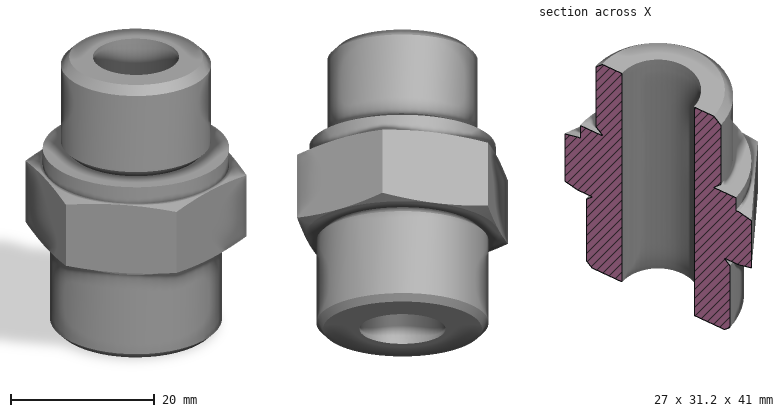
import cadquery as cq
import math

overall_height = 41.0
hex_bottom = 14.0
hex_top = 24.5
collar_top = 27.0

hex_sides = 6
hex_half_sector = 180 / hex_sides
hex_across_flats = 27.0
hex_across_corners = hex_across_flats / math.cos(math.radians(hex_half_sector))
hex_face_diameter = 26.9
hex_chamfer_angle = 15.0

lower_diameter = 24.0
lower_root_diameter = 22.16
upper_diameter = 20.95
upper_root_diameter = 18.63
collar_diameter = 26.0
bore_diameter = 12.0


def stub(diameter, root_diameter, bottom, top):
    """Cylinder from bottom to top with 45 degree chamfers down to the root diameter."""
    chamfer = (diameter - root_diameter) / 2
    return (
        cq.Workplane("XY", origin=(0, 0, bottom))
        .circle(diameter / 2)
        .extrude(top - bottom)
        .faces("<Z or >Z")
        .chamfer(chamfer)
    )


def chamfered_hexagon():
    """Hexagonal prism, corners on the Y axis, with its corners turned off by a cone at each end."""
    prism = (
        cq.Workplane("XY", origin=(0, 0, hex_bottom))
        .polygon(hex_sides, hex_across_corners)
        .extrude(hex_top - hex_bottom)
        .rotate((0, 0, 0), (0, 0, 1), hex_half_sector)
    )
    face_radius = hex_face_diameter / 2
    envelope_radius = hex_across_corners
    drop = (envelope_radius - face_radius) * math.tan(math.radians(hex_chamfer_angle))
    envelope = (
        cq.Workplane("XZ")
        .moveTo(0, hex_bottom)
        .lineTo(face_radius, hex_bottom)
        .lineTo(envelope_radius, hex_bottom + drop)
        .lineTo(envelope_radius, hex_top - drop)
        .lineTo(face_radius, hex_top)
        .lineTo(0, hex_top)
        .close()
        .revolve(360, (0, 0, 0), (0, 1, 0))
    )
    return prism.intersect(envelope)


def collar():
    """Plain round shoulder on top of the hexagon."""
    return (
        cq.Workplane("XY", origin=(0, 0, hex_top))
        .circle(collar_diameter / 2)
        .extrude(collar_top - hex_top)
    )


def bore():
    """Straight passage through the full height."""
    return cq.Workplane("XY").circle(bore_diameter / 2).extrude(overall_height)


lower_stub = stub(lower_diameter, lower_root_diameter, 0, hex_bottom)
upper_stub = stub(upper_diameter, upper_root_diameter, collar_top, overall_height)

body = lower_stub.union(chamfered_hexagon()).union(collar()).union(upper_stub)
result = body.cut(bore())